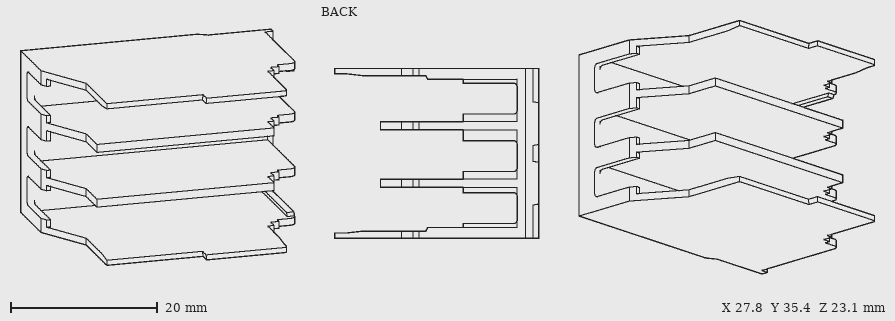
import cadquery as cq

WIDTH = 27.82
LENGTH = 35.4
HEIGHT = 23.1
OVERCUT = 0.35

SLOPE_START_X = 9.45
SLOPE_END_X = 16.65
BODY_FRONT_Y = 4.2
BODY_WIDTH = 26.15
BACK_Y = 34.25
FLANGE_WIDTH = 1.8
SHOULDER_Y = 29.45
STEPS = [(18.7, 30.35), (17.17, 31.5)]
BACK_WIDTH = 16.35
BACK_CORNER_RADIUS = 1.0

SPINE_THICKNESS = 2.97
PLATE_THICKNESS = 1.0
PLATE_TIP_THICKNESS = 0.75
TAPER_START_X = 24.0
DIVIDER_WIDTH = 21.6
DIVIDER_THICKNESS = 1.15
DIVIDER_BOTTOMS = [6.95, 14.75]

TAB_INNER_Y = 17.85
TAB_OUTER_Y = 17.9
TAB_CORNER_RADIUS = 0.5

WALL_THICKNESS = 1.05
WALL_WIDTH = 10.35
SLOT_HEIGHT = 4.18
SLOT_BOTTOMS = [2.02, 9.1, 16.92]
SLOT_RADIUS = 0.5

LIP_WIDTH = 15.4
LIP_HEIGHT = 0.5
LIP_BEVEL = 0.25

RECESSES = [(-OVERCUT, 4.67), (10.35, 12.78), (18.45, HEIGHT + OVERCUT)]
RECESS_DEPTH = 0.78
RECESS_START_Y = 25.15
RECESS_FLOOR_Y = 26.5
RECESS_DRAFT = 0.15


def box(x, y, z):
    """Box between two limits along each axis."""
    size = (x[1] - x[0], y[1] - y[0], z[1] - z[0])
    return cq.Workplane("XY").box(*size, centered=False).translate((x[0], y[0], z[0]))


def mirrored_in_height(shape):
    return shape.mirror("XY", (0, 0, HEIGHT / 2))


def full_outline_body():
    """Side outline, without the tabs, as a solid of full height."""
    points = [
        (0, 0),
        (SLOPE_START_X, 0),
        (SLOPE_END_X, BODY_FRONT_Y),
        (BODY_WIDTH, BODY_FRONT_Y),
        (BODY_WIDTH, SHOULDER_Y),
    ]
    riser_bottom = SHOULDER_Y
    for riser_x, tread_y in STEPS:
        points += [(riser_x, riser_bottom), (riser_x, tread_y)]
        riser_bottom = tread_y
    points += [
        (BACK_WIDTH, riser_bottom),
        (BACK_WIDTH, BACK_Y),
        (FLANGE_WIDTH, BACK_Y),
        (FLANGE_WIDTH, LENGTH),
        (0, LENGTH),
    ]
    body = cq.Workplane("XY").polyline(points).close().extrude(HEIGHT)
    back_corner = cq.selectors.NearestToPointSelector((BACK_WIDTH, BACK_Y, HEIGHT / 2))
    return body.edges(back_corner).fillet(BACK_CORNER_RADIUS)


def cut_chambers(body):
    """Hollow out the space between neighbouring plates, leaving the front wall."""
    floors = [PLATE_THICKNESS] + [bottom + DIVIDER_THICKNESS for bottom in DIVIDER_BOTTOMS]
    ceilings = DIVIDER_BOTTOMS + [HEIGHT - PLATE_THICKNESS]
    for z in zip(floors, ceilings):
        body = body.cut(box((SPINE_THICKNESS, WIDTH), (WALL_THICKNESS, LENGTH), z))
        body = body.cut(box((WALL_WIDTH, WIDTH), (0, LENGTH), z))
    between_outer_plates = (PLATE_THICKNESS, HEIGHT - PLATE_THICKNESS)
    return body.cut(box((DIVIDER_WIDTH, WIDTH), (0, LENGTH), between_outer_plates))


def cut_slots(body):
    """Open the front wall into each chamber, with rounded inner corners."""
    for bottom in SLOT_BOTTOMS:
        z = (bottom, bottom + SLOT_HEIGHT)
        slot = box((SPINE_THICKNESS, WALL_WIDTH + OVERCUT), (-OVERCUT, WALL_THICKNESS), z)
        body = body.cut(slot.edges("|Y and <X").fillet(SLOT_RADIUS))
    return body


def plate_taper():
    """Wedge that thins the inside of the bottom plate toward its free edge."""
    return (
        cq.Workplane("XZ")
        .moveTo(TAPER_START_X, PLATE_THICKNESS)
        .lineTo(BODY_WIDTH, PLATE_TIP_THICKNESS)
        .lineTo(BODY_WIDTH, PLATE_THICKNESS)
        .close()
        .extrude(-LENGTH)
    )


def tab():
    """Tab of the bottom plate, with a leaning front face and one rounded corner."""
    return (
        cq.Workplane("YZ", origin=(BODY_WIDTH, 0, 0))
        .moveTo(TAB_OUTER_Y, 0)
        .lineTo(SHOULDER_Y, 0)
        .lineTo(SHOULDER_Y, PLATE_TIP_THICKNESS)
        .lineTo(TAB_INNER_Y, PLATE_TIP_THICKNESS)
        .close()
        .extrude(WIDTH - BODY_WIDTH)
        .edges("|Z and >X and >Y")
        .fillet(TAB_CORNER_RADIUS)
    )


def lip():
    """Lip on the inside of the bottom plate, beveled at its free end."""
    top = PLATE_THICKNESS + LIP_HEIGHT
    return (
        cq.Workplane("XZ", origin=(0, BACK_Y, 0))
        .moveTo(SPINE_THICKNESS, PLATE_THICKNESS)
        .lineTo(LIP_WIDTH, PLATE_THICKNESS)
        .lineTo(LIP_WIDTH - LIP_BEVEL, top)
        .lineTo(SPINE_THICKNESS, top)
        .close()
        .extrude(WALL_THICKNESS)
    )


def recess(bottom, top):
    """Shallow recess with a sloped end and drafted sides, open at the back."""
    sloped_end = (
        cq.Workplane("XY", origin=(0, 0, bottom))
        .moveTo(0, RECESS_START_Y)
        .lineTo(RECESS_DEPTH, RECESS_FLOOR_Y)
        .lineTo(RECESS_DEPTH, LENGTH)
        .lineTo(0, LENGTH)
        .close()
        .extrude(top - bottom)
    )
    drafted_sides = (
        cq.Workplane("XZ")
        .moveTo(0, bottom)
        .lineTo(RECESS_DEPTH, bottom + RECESS_DRAFT)
        .lineTo(RECESS_DEPTH, top - RECESS_DRAFT)
        .lineTo(0, top)
        .close()
        .extrude(-LENGTH)
    )
    return sloped_end.intersect(drafted_sides)


result = cut_slots(cut_chambers(full_outline_body()))

taper = plate_taper()
result = result.cut(taper).cut(mirrored_in_height(taper))

for feature in (tab(), lip()):
    result = result.union(feature).union(mirrored_in_height(feature))

for recess_bottom, recess_top in RECESSES:
    result = result.cut(recess(recess_bottom, recess_top))